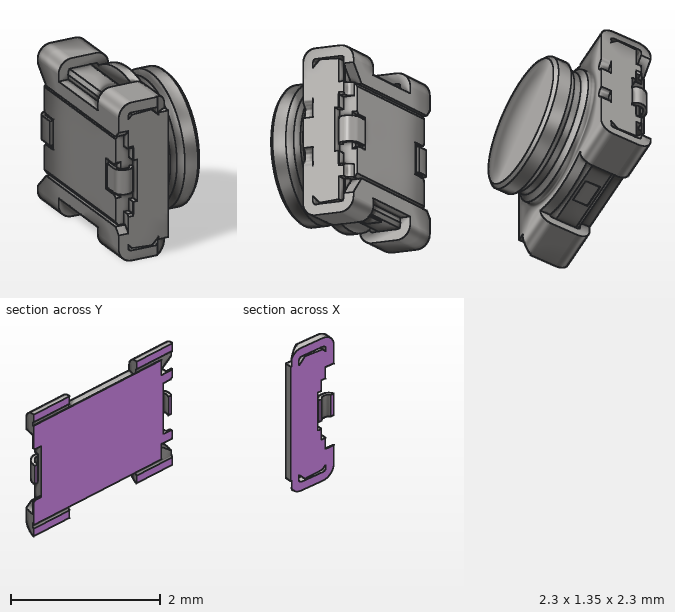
import cadquery as cq
import math


width = 2.3
half = width / 2
wall = 0.147
plate_back = 0.752
plate_front = plate_back - wall
front_bend = 0.2
back_bend = 0.182
inner_bend = 0.045
disc_radius = 1.113
strip_inner = 0.653
gap_half = 0.555
gap_floor = 0.849
left_strip_chamfer = 0.242
right_strip_chamfer = 0.092
corner_cut_x = 0.11
corner_cut_tip = 0.02
corner_cut_y = 0.58
corner_cut_z = 0.92

notch_top = 0.465
notch_depth = 0.071
notch_bend = 0.08
notch_cove = 0.1

barrel_end = 1.35
barrel_radius = 0.961
groove_radius = 0.89
end_chamfer = 0.05
groove_back_rim = 1.105
groove_back = 1.021
groove_front = 0.922
groove_front_rim = 0.849
root_fillet = 0.044

body_top = 0.987
body_back_bevel = 0.101
body_shoulder_y = 0.2
body_shoulder_z = 0.968
body_front_bevel = 0.053
end_relief_y = 0.218
pad_front = 0.02
pad_left = 1.0
pad_right = 1.024
pad_bevel_z = 0.053
pad_bevel_y = 0.037
nub_half_x = 0.177
nub_front = 0.242
nub_back = 0.46
nub_bottom = 0.985

deep_step_y = 0.283
deep_step_half = 0.301
mid_step_y = 0.218
mid_step_half = 0.474
step_flare = 0.032
step_flare_length = 0.028
step_bevel = 0.01
web_foot_x = 1.079
web_front = 0.062
web_cove_share = 1 / 3

contact_half = 0.177
contact_thick = 0.05
contact_bend_x = 1.007
contact_bend = 0.129
contact_straight = 0.018
contact_tip_x = 0.8
tip_bevel = 0.03
pocket_half = 0.22
pocket_inner_x = 0.75
pocket_mouth = 0.037
pocket_floor = 0.058
pocket_flare = 0.037
pocket_mouth_floor = 0.095


def block(x0, x1, y0, y1, z0, z1):
    """Axis-aligned box between two opposite corners."""
    return cq.Workplane("XY").box(x1 - x0, y1 - y0, z1 - z0, centered=False).translate((x0, y0, z0))


def prism_along_y(points, y0, y1):
    """Prism between y0 and y1 with an outline given as (x, z) points."""
    return cq.Workplane("XZ", origin=(0, y0, 0)).polyline(points).close().extrude(y0 - y1)


def mirrored_z(solid):
    """The solid together with its reflection in z = 0."""
    return solid.union(solid.mirror("XY"))


def arc_sagitta(along, across):
    """Height of an arc over its chord, for an arc that starts or ends tangent to `along`."""
    return math.hypot(along, across) / 2 * math.tan(math.atan2(across, along) / 2)


def flared_mouth(x_outer, half_outer, depth_outer, x_inner, half_inner, depth_inner):
    """Opening on the -X end that tapers from its outer to its inner rectangle."""
    return (
        cq.Workplane("YZ", origin=(x_outer, 0, 0))
        .rect(2 * depth_outer, 2 * half_outer)
        .workplane(offset=x_inner - x_outer)
        .rect(2 * depth_inner, 2 * half_inner)
        .loft(ruled=True)
    )


def make_shell():
    shell = block(-half, half, 0, plate_back, -half, half)
    shell = shell.edges("|X and <Y").fillet(front_bend)
    shell = shell.edges("|X and >Y").fillet(back_bend)
    inner_z = half - wall
    cavity = block(-half, half, wall, plate_front, -inner_z, inner_z).edges("|X").fillet(inner_bend)
    window = block(-half, half, 0, wall + inner_bend, -strip_inner, strip_inner)
    shell = shell.cut(cavity).cut(window)

    gap = block(-gap_half, gap_half, 0, plate_back, gap_floor, half)
    shell = shell.cut(mirrored_z(gap))
    disc = cq.Workplane("XZ", origin=(0, plate_back, 0)).circle(disc_radius).extrude(wall)
    shell = shell.union(disc)

    for side, size in ((-1, left_strip_chamfer), (1, right_strip_chamfer)):
        corner = [
            (side * half, strip_inner),
            (side * (half - size), strip_inner),
            (side * half, strip_inner + size),
        ]
        shell = shell.cut(mirrored_z(prism_along_y(corner, 0, wall)))

    edge_bevel = (
        cq.Workplane("XY", origin=(0, 0, corner_cut_z))
        .polyline([
            (half - corner_cut_x, plate_back),
            (half - corner_cut_tip, plate_front),
            (half - corner_cut_tip, corner_cut_y),
            (half, corner_cut_y),
            (half, plate_back),
        ])
        .close()
        .extrude(half - corner_cut_z)
    )
    return shell.cut(mirrored_z(edge_bevel))


def make_side_notch():
    """Notch in the -X edge of the back plate, with an S-shaped lip and a concave end."""
    floor_x = -half + notch_depth
    floor_z = notch_top - 2 * notch_bend
    bend_sagitta = arc_sagitta(notch_bend, notch_depth / 2)
    return (
        cq.Workplane("XZ", origin=(0, plate_back, 0))
        .moveTo(-half, notch_top)
        .sagittaArc((-half + notch_depth / 2, notch_top - notch_bend), -bend_sagitta)
        .sagittaArc((floor_x, floor_z), bend_sagitta)
        .sagittaArc((-half, floor_z - notch_cove), arc_sagitta(notch_cove, notch_depth))
        .close()
        .extrude(wall)
    )


def make_barrel():
    root = plate_back + root_fillet
    quarter = root_fillet * (1 - math.sqrt(0.5))
    return (
        cq.Workplane("XY")
        .moveTo(0, plate_front)
        .lineTo(barrel_radius + root_fillet, plate_front)
        .lineTo(barrel_radius + root_fillet, plate_back)
        .threePointArc((barrel_radius + quarter, plate_back + quarter), (barrel_radius, root))
        .lineTo(barrel_radius, groove_front_rim)
        .lineTo(groove_radius, groove_front)
        .lineTo(groove_radius, groove_back)
        .lineTo(barrel_radius, groove_back_rim)
        .lineTo(barrel_radius, barrel_end - end_chamfer)
        .lineTo(barrel_radius - end_chamfer, barrel_end)
        .lineTo(0, barrel_end)
        .close()
        .revolve(360, (0, 0, 0), (0, 1, 0))
    )


def make_body():
    edge = [
        (plate_front, body_top - body_back_bevel),
        (plate_front - body_back_bevel, body_top),
        (body_shoulder_y, body_shoulder_z),
        (wall, body_shoulder_z - body_front_bevel),
    ]
    outline = edge + [(y, -z) for y, z in reversed(edge)]
    body = cq.Workplane("YZ", origin=(-half, 0, 0)).polyline(outline).close().extrude(width)

    relief = (
        cq.Workplane("XY", origin=(0, 0, strip_inner))
        .polyline([
            (-half, wall),
            (-half, end_relief_y),
            (-pad_left, end_relief_y),
            (-pad_left, body_shoulder_y),
            (-pad_left + body_front_bevel, wall),
        ])
        .close()
        .extrude(body_top - strip_inner)
    )
    body = body.cut(mirrored_z(relief))

    nub = block(-nub_half_x, nub_half_x, nub_front, nub_back, -nub_bottom, 0)
    body = body.union(nub).union(make_pad())
    body = body.cut(make_end_step(pad_left)).cut(make_end_step(pad_right).mirror("YZ"))
    body = body.union(make_webs())
    return body.cut(make_pocket(pad_left)).cut(make_pocket(pad_right).mirror("YZ"))


def make_pad():
    """Raised rectangle of insulator between the solder strips."""
    edge = [
        (deep_step_y, strip_inner),
        (pad_front + pad_bevel_y, strip_inner),
        (pad_front, strip_inner - pad_bevel_z),
    ]
    outline = edge + [(y, -z) for y, z in reversed(edge)]
    pad = cq.Workplane("YZ", origin=(-pad_left, 0, 0)).polyline(outline).close()
    return pad.extrude(pad_left + pad_right)


def make_end_step(pad_side):
    """Stepped recess in the -X end of the insulator, reaching in to the pad's side."""
    deep = block(-half, -pad_side, 0, deep_step_y, -deep_step_half, deep_step_half)
    middle = block(-half, -pad_side, 0, mid_step_y, -mid_step_half, mid_step_half)
    mouth = flared_mouth(
        -half, mid_step_half + step_flare, mid_step_y,
        -half + step_flare_length, mid_step_half, mid_step_y,
    )
    bevel = flared_mouth(
        -half, mid_step_half, mid_step_y + step_bevel,
        -half + step_bevel, mid_step_half, mid_step_y,
    )
    return deep.union(middle).union(mouth).union(bevel)


def make_webs():
    """S-curved webs that rise from the -X end to the pad."""
    run = web_foot_x - pad_left
    rise = wall - web_front
    sagitta = arc_sagitta(run, rise)
    web = (
        cq.Workplane("XY", origin=(0, 0, mid_step_half))
        .moveTo(-web_foot_x, wall)
        .sagittaArc(
            (-web_foot_x + run * web_cove_share, wall - rise * web_cove_share),
            sagitta * web_cove_share,
        )
        .sagittaArc((-pad_left, web_front), -sagitta * (1 - web_cove_share))
        .lineTo(-pad_left, wall)
        .close()
        .extrude(strip_inner - mid_step_half)
    )
    return mirrored_z(web)


def make_pocket(pad_side):
    """Pocket near the pad's -X side for a contact tip, with a flared mouth."""
    pocket = block(-pad_side, -pocket_inner_x, 0, pocket_floor, -pocket_half, pocket_half)
    mouth = flared_mouth(
        -pad_side, pocket_half + pocket_flare, pocket_mouth_floor,
        -pad_side + pocket_mouth, pocket_half, pocket_floor,
    )
    return pocket.union(mouth)


def make_contact():
    """U-bent strip at the -X end, its free leg lying along the mounting face."""
    depth = 2 * contact_bend + contact_straight
    length = contact_bend + contact_bend_x - contact_tip_x
    bend_x = -contact_bend_x - contact_bend
    outer = block(bend_x, bend_x + length, 0, depth, -contact_half, contact_half)
    outer = outer.edges("|Z and <X").fillet(contact_bend)
    inner = block(
        bend_x + contact_thick, bend_x + length,
        contact_thick, depth - contact_thick,
        -contact_half, contact_half,
    )
    return outer.cut(inner.edges("|Z and <X").fillet(contact_bend - contact_thick))


left_contact = make_contact()
right_contact = left_contact.mirror("YZ").edges("|Z and <X and <Y").chamfer(tip_bevel)

result = (
    make_shell()
    .union(make_barrel())
    .cut(mirrored_z(make_side_notch()))
    .union(make_body())
    .union(left_contact)
    .union(right_contact)
)